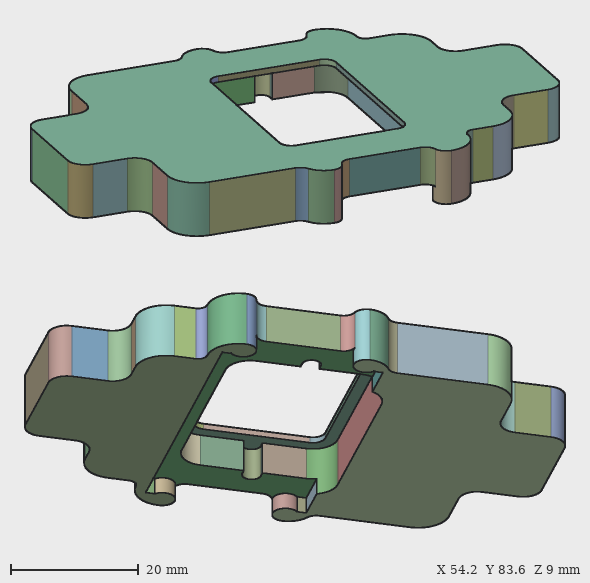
import cadquery as cq
import math

length = 83.6
thickness = 9.0
tab_half_width = 10.0
tab_corner_radius = 3.0
shoulder_y = 29.9
upper_half_width = 20.5
body_half_width = 24.0
shoulder_radius = 5.0

post_x = 25.0
post_radius = 2.1
upper_post_y = 15.0
lower_post_y = -5.0
upper_lobe_radius = 5.0
lower_lobe_radius = 4.0
neck_radius = 2.0
upper_neck_radius = 1.5

window_width = 30.9
window_height = 21.2
window_y = 2.2
window_radius = 2.0
lip_thickness = 1.0
pocket_margin = 2.0
pocket_radius = 4.0
slot_width = 3.0
slot_reach = 2.5

recess_depth = 2.7
recess_margin = 3.0
recess_half_width = 23.6

bottom_z = -thickness / 2
half_length = length / 2
lobe_x = post_x + post_radius
post_spacing = upper_post_y - lower_post_y
pocket_width = window_width + 2 * pocket_margin
pocket_height = window_height + 2 * pocket_margin
pocket_depth = thickness - lip_thickness


def neck_center(lobe_center, lobe_radius, radius, wall_x, side):
    """Center of the concave arc touching a lobe and the wall; side is +1 above the lobe, -1 below."""
    x = wall_x + radius
    rise = math.sqrt((lobe_radius + radius) ** 2 - (x - lobe_center[0]) ** 2)
    return x, lobe_center[1] + side * rise


def touch_point(lobe_center, lobe_radius, neck, radius):
    """Point where a lobe arc meets its neck arc."""
    share = lobe_radius / (lobe_radius + radius)
    return tuple(a + (b - a) * share for a, b in zip(lobe_center, neck))


def add_lobe(path, upper, lower):
    """Add one lobe from top to bottom; each half is (center, radius, neck radius, wall x)."""
    center, radius, neck_r, wall_x = upper
    neck = neck_center(center, radius, neck_r, wall_x, 1)
    path = path.lineTo(wall_x, neck[1])
    path = path.radiusArc(touch_point(center, radius, neck, neck_r), -neck_r)
    path = path.radiusArc((lobe_x, center[1]), radius)

    center, radius, neck_r, wall_x = lower
    neck = neck_center(center, radius, neck_r, wall_x, -1)
    path = path.radiusArc(touch_point(center, radius, neck, neck_r), radius)
    return path.radiusArc((wall_x, neck[1]), -neck_r)


def make_plate():
    """Solid plate with the full outline, mirrored about the center line."""
    corner_x = tab_half_width - tab_corner_radius
    corner_y = half_length - tab_corner_radius
    notch_x = tab_half_width + tab_corner_radius
    notch_y = shoulder_y + tab_corner_radius
    round_y = shoulder_y - shoulder_radius
    upper_round_x = upper_half_width - shoulder_radius
    lower_round_x = body_half_width - shoulder_radius

    path = cq.Workplane("XY", origin=(0, 0, bottom_z)).moveTo(0, half_length)
    path = path.lineTo(corner_x, half_length)
    path = path.radiusArc((tab_half_width, corner_y), tab_corner_radius)
    path = path.lineTo(tab_half_width, notch_y)
    path = path.radiusArc((notch_x, shoulder_y), -tab_corner_radius)
    path = path.lineTo(upper_round_x, shoulder_y)
    path = path.radiusArc((upper_half_width, round_y), shoulder_radius)

    upper_lobe_center = (lobe_x - upper_lobe_radius, upper_post_y)
    lower_lobe_center = (lobe_x - lower_lobe_radius, lower_post_y)
    path = add_lobe(
        path,
        (upper_lobe_center, upper_lobe_radius, upper_neck_radius, upper_half_width),
        ((post_x, upper_post_y), post_radius, neck_radius, body_half_width),
    )
    path = add_lobe(
        path,
        ((post_x, lower_post_y), post_radius, neck_radius, body_half_width),
        (lower_lobe_center, lower_lobe_radius, neck_radius, body_half_width),
    )

    path = path.lineTo(body_half_width, -round_y)
    path = path.radiusArc((lower_round_x, -shoulder_y), shoulder_radius)
    path = path.lineTo(notch_x, -shoulder_y)
    path = path.radiusArc((tab_half_width, -notch_y), -tab_corner_radius)
    path = path.lineTo(tab_half_width, -corner_y)
    path = path.radiusArc((corner_x, -half_length), tab_corner_radius)
    return path.lineTo(0, -half_length).mirrorY().extrude(thickness)


def rounded_block(width, height, radius, depth):
    """Block around the window center, rising from the underside."""
    base = cq.Workplane("XY", origin=(0, window_y, bottom_z))
    return base.rect(width, height).extrude(depth).edges("|Z").fillet(radius)


def make_pocket():
    """Pocket behind the window, with a round-ended slot in each side wall."""
    pocket = rounded_block(pocket_width, pocket_height, pocket_radius, pocket_depth)
    slot_length = pocket_width + 2 * slot_reach
    base = cq.Workplane("XY", origin=(0, window_y, bottom_z))
    slots = base.slot2D(slot_length, slot_width).extrude(pocket_depth)
    return pocket.union(slots)


def underside_plane():
    """Underside work plane centered between the four posts."""
    return cq.Workplane("XY", origin=(0, (upper_post_y + lower_post_y) / 2, bottom_z))


def make_recess():
    """Shallow underside recess that runs out through the sides between the posts."""
    recess_height = post_spacing + 2 * recess_margin
    recess = underside_plane().rect(2 * recess_half_width, recess_height).extrude(recess_depth)
    side_openings = underside_plane().rect(2 * lobe_x, post_spacing).extrude(recess_depth)
    return recess.union(side_openings)


def make_posts():
    """Round posts, whose outer sides are the tips of the lobes."""
    centers = underside_plane().rect(2 * post_x, post_spacing, forConstruction=True).vertices()
    return centers.circle(post_radius).extrude(thickness)


window = rounded_block(window_width, window_height, window_radius, thickness)
result = make_plate().cut(window).cut(make_pocket()).cut(make_recess()).union(make_posts())